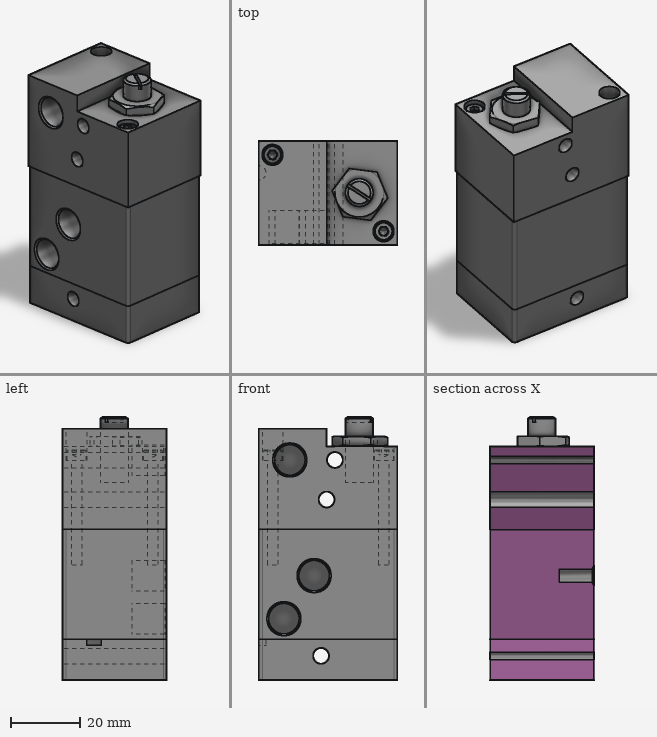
import cadquery as cq
import math

length = 40.0
depth = 30.0
base_top = 11.8
block_top = 43.4
step_top = 67.3
head_top = 72.4
step_x = 19.6
edge_radius = 1.0

port_bore = 8.8
port_mouth = 9.8
port_depth = 10.0
head_port = (9.0, 63.4)
block_ports = [(16.0, 30.1), (7.3, 17.7)]

mount_dia = 4.5
head_mounts = [(22.0, 63.4), (19.6, 52.0)]
base_mount = (18.0, 7.0)

vent_y = 20.9
vent_radius = 2.05
vent_height = 1.8

screw_points = [(4.0, 26.0), (36.0, 4.0)]
screw_head_top = 66.3
screw_head_dia = 5.5
screw_head_height = 3.0
screw_head_chamfer = 0.3
screw_well_dia = 6.0
shank_dia = 3.0
shank_length = 30.0
socket_flats = 2.5
socket_depth = 1.3
socket_tip = 0.7

spindle_center = (29.0, 15.1)
spindle_dia = 8.0
spindle_top = 75.8
spindle_bottom = 57.0
spindle_chamfer_radial = 0.75
spindle_chamfer_axial = 0.5
slot_width = 0.8
slot_depth = 1.6
slot_angle = -33.0
nut_flats = 14.0
nut_height = 3.0
nut_angle = -7.5
nut_offset = (0.2, -0.5)
nut_bevel_slope = 18.0

screw_seat = screw_head_top - screw_head_height
shank_bottom = screw_seat - shank_length
hex_corner_ratio = 2.0 / math.sqrt(3.0)


def rounded_block(bottom, top):
    """Rectangular block with rounded vertical edges."""
    block = cq.Workplane("XY", origin=(0, 0, bottom)).box(length, depth, top - bottom, centered=False)
    return block.edges("|Z").fillet(edge_radius)


def vertical_cylinders(points, diameter, bottom, top):
    """Upright cylinders at the given XY points."""
    plane = cq.Workplane("XY", origin=(0, 0, bottom))
    return plane.pushPoints(points).circle(diameter / 2).extrude(top - bottom)


def front_hole(point, diameter, hole_depth):
    """Cylinder running back from the front face at an XZ point."""
    plane = cq.Workplane("XZ", origin=(point[0], 0, point[1]))
    return plane.circle(diameter / 2).extrude(-hole_depth)


def port(point):
    """Flat-bottomed port bore with a 45 degree countersink at the front face."""
    bore = front_hole(point, port_bore, port_depth)
    sink_depth = (port_mouth - port_bore) / 2
    face_point = cq.Vector(point[0], 0, point[1])
    mouth = cq.Solid.makeCone(port_mouth / 2, port_bore / 2, sink_depth, face_point, cq.Vector(0, 1, 0))
    return bore.union(cq.Workplane(mouth))


def make_base():
    base = rounded_block(0, base_top)
    base = base.cut(front_hole(base_mount, mount_dia, depth))
    vent = vertical_cylinders([(0, vent_y)], 2 * vent_radius, base_top - vent_height, base_top)
    return base.cut(vent)


def make_valve_block():
    block = rounded_block(base_top, block_top)
    for point in block_ports:
        block = block.cut(port(point))
    return block.cut(vertical_cylinders(screw_points, shank_dia, shank_bottom, block_top))


def make_head_block():
    profile = cq.Workplane("XZ").moveTo(0, block_top).lineTo(length, block_top).lineTo(length, step_top)
    profile = profile.lineTo(step_x, step_top).lineTo(step_x, head_top).lineTo(0, head_top).close()
    head = profile.extrude(-depth)
    head = head.cut(port(head_port))
    for point in head_mounts:
        head = head.cut(front_hole(point, mount_dia, depth))
    head = head.cut(vertical_cylinders(screw_points, screw_well_dia, screw_seat, head_top))
    head = head.cut(vertical_cylinders(screw_points, shank_dia, block_top, screw_seat))
    return head.cut(vertical_cylinders([spindle_center], spindle_dia, spindle_bottom, step_top))


def make_cap_screw(point):
    center = [(0, 0)]
    screw = vertical_cylinders(center, screw_head_dia, screw_seat, screw_head_top)
    screw = screw.faces(">Z").edges().chamfer(screw_head_chamfer)
    screw = screw.union(vertical_cylinders(center, shank_dia, shank_bottom, screw_seat))
    socket_floor = screw_head_top - socket_depth
    socket = cq.Workplane("XY", origin=(0, 0, socket_floor))
    socket = socket.polygon(6, socket_flats * hex_corner_ratio).extrude(socket_depth)
    tip = cq.Solid.makeCone(0, socket_flats / 2, socket_tip, cq.Vector(0, 0, socket_floor - socket_tip))
    screw = screw.cut(socket).cut(cq.Workplane(tip))
    return screw.translate((point[0], point[1], 0))


def make_lock_nut():
    corner_dia = nut_flats * hex_corner_ratio
    nut = cq.Workplane("XY").polygon(6, corner_dia).extrude(nut_height)
    nut = nut.rotate((0, 0, 0), (0, 0, 1), nut_angle).translate((nut_offset[0], nut_offset[1], 0))
    envelope_dia = corner_dia + 2 * math.hypot(*nut_offset)
    bevel_radial = (envelope_dia - nut_flats) / 2
    bevel_height = bevel_radial * math.tan(math.radians(nut_bevel_slope))
    envelope = cq.Workplane("XY").circle(envelope_dia / 2).extrude(nut_height)
    envelope = envelope.faces(">Z or <Z").edges().chamfer(bevel_height, bevel_radial)
    nut = nut.intersect(envelope)
    nut = nut.cut(cq.Workplane("XY").circle(spindle_dia / 2).extrude(nut_height))
    return nut.translate((spindle_center[0], spindle_center[1], step_top))


def make_spindle():
    spindle = vertical_cylinders([(0, 0)], spindle_dia, spindle_bottom, spindle_top)
    spindle = spindle.faces(">Z").edges().chamfer(spindle_chamfer_axial, spindle_chamfer_radial)
    slot = cq.Workplane("XY", origin=(0, 0, spindle_top - slot_depth))
    slot = slot.rect(spindle_dia, slot_width).extrude(slot_depth)
    spindle = spindle.cut(slot)
    spindle = spindle.rotate((0, 0, 0), (0, 0, 1), slot_angle)
    return spindle.translate((spindle_center[0], spindle_center[1], 0))


base = make_base()
valve_block = make_valve_block()
head_block = make_head_block()
cap_screws = [make_cap_screw(point) for point in screw_points]
lock_nut = make_lock_nut()
spindle = make_spindle()

result = cq.Compound.makeCompound([
    base.val(),
    valve_block.val(),
    head_block.val(),
    *[screw.val() for screw in cap_screws],
    lock_nut.val(),
    spindle.val(),
])